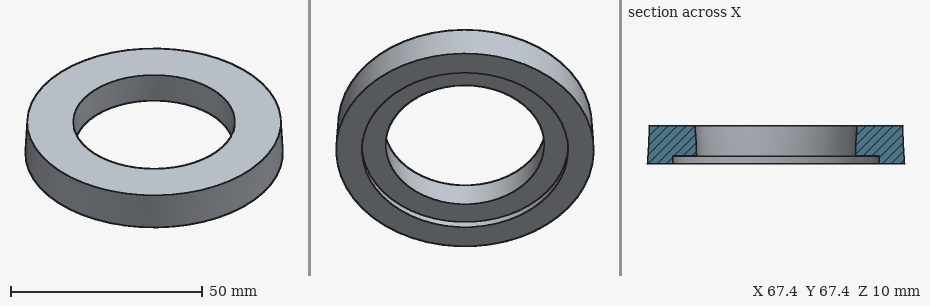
import cadquery as cq
import math

outer_diameter = 67.4
bore_diameter = 41.45
height = 10.0
draft_angle = 3.0
recess_depth = 2.0
recess_diameter = 53.9

draft_slope = math.tan(math.radians(draft_angle))
outer_radius = outer_diameter / 2
bore_radius = bore_diameter / 2
recess_radius = recess_diameter / 2
top_outer_radius = outer_radius - height * draft_slope
top_bore_radius = bore_radius + (height - recess_depth) * draft_slope

section = (
    cq.Workplane("XZ")
    .moveTo(-recess_radius, 0)
    .lineTo(-outer_radius, 0)
    .lineTo(-top_outer_radius, height)
    .lineTo(-top_bore_radius, height)
    .lineTo(-bore_radius, recess_depth)
    .lineTo(-recess_radius, recess_depth)
    .close()
)

result = section.revolve(360, (0, 0, 0), (0, 1, 0))